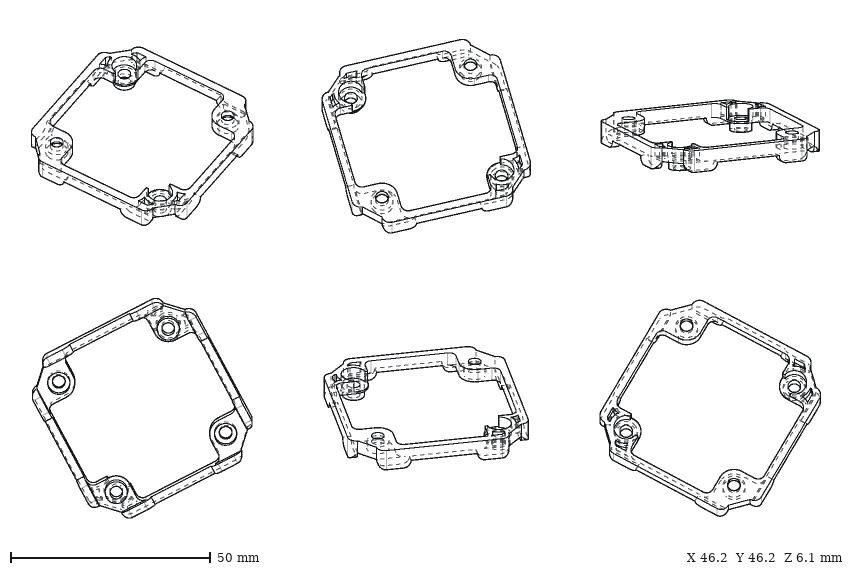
import cadquery as cq
import math

side = 46.2
wall = 2.13
frame_thickness = 3.6
half_side = side / 2
half_opening = half_side - wall
chamfer_end = 16.95
straight_end = chamfer_end - wall
inner_fillet = 1.8

hole_spacing = 31.0
hole_diameter = 3.2
hole_offset = hole_spacing / 2
plain_boss_radius = 4.0
cup_boss_radius = 3.75
counterbore_diameter = 5.6
counterbore_top = 1.6

cup_radius = 3.1
cup_depth = 3.1
cup_wall_reach = 0.6
pin_diameter = 5.6
overall_height = 6.1

pocket_depth = cup_depth
pocket_cup_radius = 4.3
pocket_cut_distance = 3.7
pocket_web = 1.35

leg_bottom = 5.65
leg_round = leg_bottom - frame_thickness
leg_inner_end = 8.5

overlap = 0.45
half_diagonal = math.sqrt(0.5)


def slab(x0, x1, y0, y1, z0, z1):
    """Box given by its limits along each axis."""
    return cq.Workplane("XY").box(x1 - x0, y1 - y0, z1 - z0, centered=False).translate((x0, y0, z0))


def cylinder(x, y, radius, z0, z1):
    """Upright cylinder between two heights."""
    return cq.Workplane("XY", origin=(x, y, z0)).circle(radius).extrude(z1 - z0)


def outer_block(depth):
    """Square block with cut corners and rounded side ends, hanging down from z = 0."""
    outline = cq.Workplane("XY").moveTo(-straight_end, half_side)
    arc_mid_along = straight_end + wall * half_diagonal
    arc_mid_out = half_opening + wall * half_diagonal
    for turn in range(4):
        angle = -math.pi / 2 * turn

        def turned(x, y):
            return (
                x * math.cos(angle) - y * math.sin(angle),
                x * math.sin(angle) + y * math.cos(angle),
            )

        outline = (
            outline.lineTo(*turned(straight_end, half_side))
            .threePointArc(turned(arc_mid_along, arc_mid_out), turned(chamfer_end, half_opening))
            .lineTo(*turned(half_opening, chamfer_end))
            .threePointArc(turned(arc_mid_out, arc_mid_along), turned(half_side, straight_end))
        )
    return outline.close().extrude(-depth)


def corner_boss(x_sign, y_sign, radius):
    """Screw corner filling the opening, with a round tip and fillets to the walls."""
    inner_edge = hole_offset - radius
    root = inner_edge - inner_fillet
    fillet_start = half_opening - inner_fillet
    tip = hole_offset - radius * half_diagonal
    fillet_mid = inner_edge - inner_fillet * (1 - half_diagonal)
    fillet_out = half_opening - inner_fillet * (1 - half_diagonal)

    def at(x, y):
        return (x * x_sign, y * y_sign)

    outer = half_opening + overlap
    return (
        cq.Workplane("XY")
        .moveTo(*at(root, outer))
        .lineTo(*at(root, half_opening))
        .threePointArc(at(fillet_mid, fillet_out), at(inner_edge, fillet_start))
        .lineTo(*at(inner_edge, hole_offset))
        .threePointArc(at(tip, tip), at(hole_offset, inner_edge))
        .lineTo(*at(fillet_start, inner_edge))
        .threePointArc(at(fillet_out, fillet_mid), at(half_opening, root))
        .lineTo(*at(outer, root))
        .lineTo(*at(outer, outer))
        .close()
        .extrude(-frame_thickness)
    )


def legs():
    """Pair of feet under the ends of the +Y side."""
    foot_top = -frame_thickness + overlap
    inset = leg_round * (1 - half_diagonal)
    foot = (
        cq.Workplane("XZ", origin=(0, half_side, 0))
        .moveTo(chamfer_end, foot_top)
        .lineTo(chamfer_end, -frame_thickness)
        .threePointArc(
            (chamfer_end - inset, -leg_bottom + inset),
            (chamfer_end - leg_round, -leg_bottom),
        )
        .lineTo(leg_inner_end + leg_round, -leg_bottom)
        .threePointArc(
            (leg_inner_end + inset, -leg_bottom + inset),
            (leg_inner_end, -frame_thickness),
        )
        .lineTo(leg_inner_end, foot_top)
        .close()
        .extrude(wall)
    )
    return foot.union(foot.mirror("YZ"))


def cup_cut():
    """Round cup of the (-X, +Y) corner, open towards the middle of the frame."""
    x, y = -hole_offset, hole_offset
    reach = cup_boss_radius + overlap
    opening = slab(x - cup_wall_reach, x + reach, y - reach, y + cup_wall_reach, -cup_depth, overlap)
    return cylinder(x, y, cup_radius, -cup_depth, overlap).union(opening)


def pocket_cut():
    """Small pocket between the cup and the +Y side in the (-X, +Y) corner."""
    x, y = -hole_offset, hole_offset
    left = x - cup_wall_reach
    right = x + cup_boss_radius
    pocket = slab(left, right, y, half_opening, -pocket_depth, overlap)
    pocket = pocket.cut(cylinder(x, y, pocket_cup_radius, -frame_thickness, 2 * overlap))
    fillet_x = x + cup_boss_radius + inner_fillet
    fillet_y = half_opening - inner_fillet
    web_radius = inner_fillet + pocket_web
    pocket = pocket.cut(cylinder(fillet_x, fillet_y, web_radius, -frame_thickness, 2 * overlap))
    cut_sum = pocket_cut_distance / half_diagonal
    corner = (
        cq.Workplane("XY", origin=(x, y, -frame_thickness))
        .polyline([(-cut_sum, 0), (0, cut_sum), (cut_sum, 2 * cut_sum), (-cut_sum, 2 * cut_sum)])
        .close()
        .extrude(frame_thickness + 2 * overlap)
    )
    return pocket.cut(corner)


opening = cq.Workplane("XY").rect(2 * half_opening, 2 * half_opening).extrude(-frame_thickness)
result = outer_block(frame_thickness).cut(opening)

outer_shape = outer_block(overall_height)
for x_sign in (-1, 1):
    for y_sign in (-1, 1):
        radius = plain_boss_radius if x_sign == y_sign else cup_boss_radius
        result = result.union(corner_boss(x_sign, y_sign, radius).intersect(outer_shape))

side_legs = legs().intersect(outer_shape)
for turn in range(4):
    result = result.union(side_legs.rotate((0, 0, 0), (0, 0, 1), 90 * turn))

pocket = pocket_cut()
mirrored_pocket = pocket.mirror("XZ").rotate((0, 0, 0), (0, 0, 1), -90)
pin = cylinder(-hole_offset, hole_offset, pin_diameter / 2, -overall_height, -cup_depth)
for angle in (0, 180):
    for cutter in (cup_cut(), pocket, mirrored_pocket):
        result = result.cut(cutter.rotate((0, 0, 0), (0, 0, 1), angle))
    result = result.union(pin.rotate((0, 0, 0), (0, 0, 1), angle))

for x in (-hole_offset, hole_offset):
    for y in (-hole_offset, hole_offset):
        result = result.cut(cylinder(x, y, hole_diameter / 2, -overall_height - overlap, overlap))

for sign in (-1, 1):
    centre = sign * hole_offset
    below = -frame_thickness - overlap
    counterbore = cylinder(centre, centre, counterbore_diameter / 2, below, -counterbore_top)
    result = result.cut(counterbore)